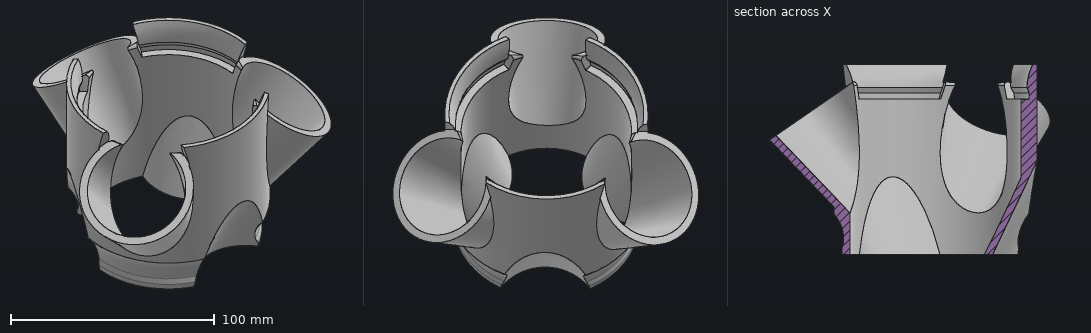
import cadquery as cq
import math

HEIGHT = 93.6
BODY_DIAMETER = 100.0
BORE_DIAMETER = 84.0
BODY_RADIUS = BODY_DIAMETER / 2
BORE_RADIUS = BORE_DIAMETER / 2

SHOULDER_Z = 19.9
FOOT_RADIUS = 46.2
FOOT_TOP_Z = 3.0
NECK_BOTTOM_Z = 5.9
NECK_RADIUS = 45.3
NECK_MID_Z = 13.0
NECK_MID_RADIUS = 46.0

SOCKET_FLOOR_Z = 76.5
SOCKET_STEP_Z = 79.5
SOCKET_LIP_Z = 82.0
SOCKET_FLOOR_RADIUS = 45.9
SOCKET_LIP_RADIUS = 44.8
SOCKET_MID_Z = 87.9
SOCKET_MID_RADIUS = 45.6
SOCKET_MOUTH_RADIUS = 47.9

TUBE_TILT = 34.6
TUBE_TAPER = 9.2
TUBE_WALL = 3.9
MOUTH_DIAMETER = 56.7
MOUTH_RADIUS = MOUTH_DIAMETER / 2
OPENING_CLEARANCE = 0.5
MOUTH_OFFSET = 58.4
MOUTH_Z = 72.5
TUBE_ANGLES = (30, 150, 270)

TIP_ROUND_BOTTOM_Z = 83.2
TIP_ROUND_MID_Z = 84.4
TIP_ROUND_TOP_Z = 85.0
TIP_ROUND_MID_RADIUS = 42.7
TIP_ROUND_OUTER_RADIUS = 44.2

STACK_CLEARANCE = 0.3
STACK_PITCH = HEIGHT - SHOULDER_Z + STACK_CLEARANCE
SCOOP_ANGLES = (90, 210, 330)

CONE_REACH = 75.2


def tilted_cone(mouth_radius, mouth_z, depth, rise):
    """Cone in the XZ plane on a tilted axis, running from below to above its mouth plane."""
    slope = math.tan(math.radians(TUBE_TAPER))
    tilt = math.radians(TUBE_TILT)
    axis = cq.Vector(math.sin(tilt), 0, math.cos(tilt))
    base = cq.Vector(MOUTH_OFFSET, 0, mouth_z) - axis * depth
    low_radius = mouth_radius - depth * slope
    high_radius = mouth_radius + rise * slope
    return cq.Workplane(cq.Solid.makeCone(low_radius, high_radius, depth + rise, base, axis))


def around(shape, angle):
    """Shape turned about the body axis."""
    return shape.rotate((0, 0, 0), (0, 0, 1), angle)


def make_body():
    """Revolved body with the curved neck outside and the matching socket inside."""
    return (
        cq.Workplane("XZ")
        .lineTo(FOOT_RADIUS, 0)
        .lineTo(FOOT_RADIUS, FOOT_TOP_Z)
        .lineTo(NECK_RADIUS, NECK_BOTTOM_Z)
        .threePointArc((NECK_MID_RADIUS, NECK_MID_Z), (BODY_RADIUS, SHOULDER_Z))
        .lineTo(BODY_RADIUS, HEIGHT)
        .lineTo(SOCKET_MOUTH_RADIUS, HEIGHT)
        .threePointArc((SOCKET_MID_RADIUS, SOCKET_MID_Z), (SOCKET_LIP_RADIUS, SOCKET_LIP_Z))
        .lineTo(SOCKET_FLOOR_RADIUS, SOCKET_STEP_Z)
        .lineTo(SOCKET_FLOOR_RADIUS, SOCKET_FLOOR_Z)
        .lineTo(0, SOCKET_FLOOR_Z)
        .close()
        .revolve(360, (0, 0, 0), (0, 1, 0))
    )


def make_tip_cutter():
    """Revolved cutter that rounds the tube wall tips where they meet the bore."""
    return (
        cq.Workplane("XZ")
        .moveTo(0, TIP_ROUND_BOTTOM_Z)
        .lineTo(BORE_RADIUS, TIP_ROUND_BOTTOM_Z)
        .threePointArc((TIP_ROUND_MID_RADIUS, TIP_ROUND_MID_Z), (TIP_ROUND_OUTER_RADIUS, TIP_ROUND_TOP_Z))
        .lineTo(TIP_ROUND_OUTER_RADIUS, HEIGHT)
        .lineTo(0, HEIGHT)
        .close()
        .revolve(360, (0, 0, 0), (0, 1, 0))
    )


body = make_body()
bore = cq.Workplane("XY").circle(BORE_RADIUS).extrude(HEIGHT)

tube = tilted_cone(MOUTH_RADIUS, MOUTH_Z, CONE_REACH, 0)
tube_opening = tilted_cone(MOUTH_RADIUS + OPENING_CLEARANCE, MOUTH_Z, 0, CONE_REACH)
for angle in TUBE_ANGLES:
    body = body.union(around(tube, angle)).cut(around(tube_opening, angle))

body = body.cut(bore).cut(make_tip_cutter())

passage = tilted_cone(MOUTH_RADIUS - TUBE_WALL, MOUTH_Z, CONE_REACH, 0)
for angle in TUBE_ANGLES:
    body = body.cut(around(passage, angle))

scoop_z = MOUTH_Z - STACK_PITCH
shell = tilted_cone(MOUTH_RADIUS + TUBE_WALL, scoop_z, CONE_REACH, CONE_REACH)
shell = shell.intersect(bore)
hollow = tilted_cone(MOUTH_RADIUS, scoop_z, CONE_REACH, CONE_REACH)
for angle in SCOOP_ANGLES:
    body = body.union(around(shell, angle))
for angle in SCOOP_ANGLES:
    body = body.cut(around(hollow, angle))

result = body